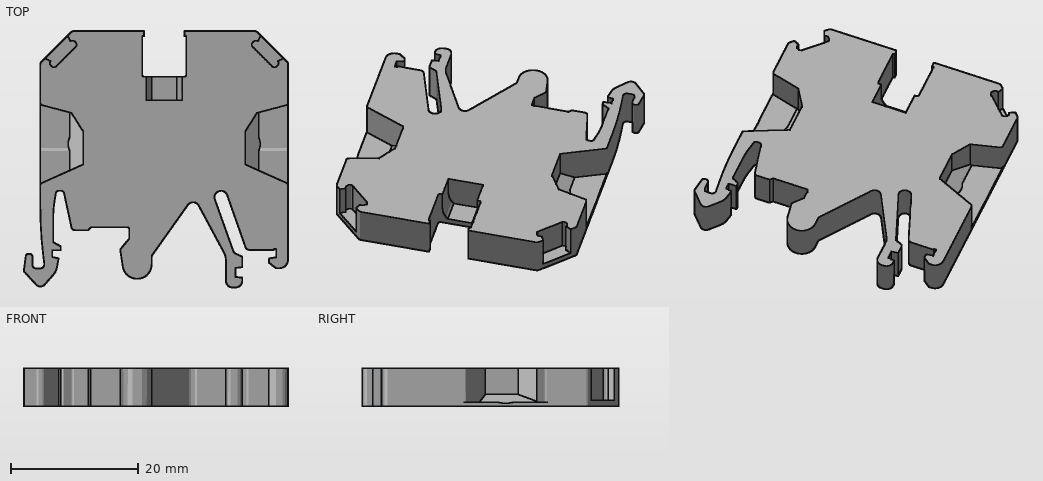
import cadquery as cq
import math

overall_length = 41.6
thickness = 6.0
body_half_width = 19.5
top_y = 40.4
corner_chamfer = 5.05
chamfer_end_radius = 0.62
chamfer_angle = 45

recess_floor_z = 0.95

slot_half_width = 3.45
slot_mouth_half_width = 3.15
slot_floor_y = 33.2
lip_height = 0.85
lip_radius = 0.12
slot_floor_radius = 0.35

well_radius = 2.83
well_bottom_y = 29.45
well_axis_z = thickness / 2

entry_floor_z = 0.62
entry_inner_x = 12.73
entry_back_top_y = 24.55
entry_back_bottom_y = 19.4
entry_bend_x = 14.6
entry_bend_y = 27.5
entry_ramp_start_x = 14.85
entry_ramp_rise = 1.25
entry_mouth_radius = 0.4
entry_top_y = 28.8
entry_bottom_y = 16.35
groove_y = 22.6
groove_width = 2.25
groove_depth = 0.145

tag_mouth_half_width = 2.55
tag_neck_half_width = 2.2
tag_half_width = 2.65
tag_neck_depth = 0.95
tag_depth = 2.15
tag_end_radius = 0.5

hook_left_x = body_half_width - overall_length
hook_corner_overshoot = 0.02
hook_throat_y = 3.05
hook_tip_y = 5.32
hook_inner_x = -20.7
arm_inner_x = -17.43
arm_notch_x = -17.6
arm_slit_y = 15.22
shoulder_y = 9.03
seat_y = 9.5
seat_end_x = -5.55
post_bottom_y = 1.37
post_right_x = -1.95
post_radius = 2.3
lever_left_x = 9.7
lever_right_x = 12.3
lever_notch_x = 11.25
ledge_y = 5.9
ledge_relief_y = 6.07
catch_root_x = 17.6
catch_tip_x = 16.45
catch_bottom_y = 3.05

cut_margin = 0.85


def rounded_outline(corners):
    """Closed wire through (x, y, radius) corners, each rounded by a tangent arc."""
    points = [cq.Vector(x, y) for x, y, _ in corners]
    edges = []
    ends = []
    for i, (_, _, radius) in enumerate(corners):
        corner = points[i]
        if radius == 0:
            ends.append((corner, corner))
            continue
        to_previous = (points[i - 1] - corner).normalized()
        to_next = (points[(i + 1) % len(points)] - corner).normalized()
        half_angle = to_previous.getAngle(to_next) / 2
        reach = radius / math.tan(half_angle)
        gap = radius / math.sin(half_angle) - radius
        start = corner + to_previous * reach
        middle = corner + (to_previous + to_next).normalized() * gap
        end = corner + to_next * reach
        edges.append(cq.Edge.makeThreePointArc(start, middle, end))
        ends.append((start, end))
    for i, (start, _) in enumerate(ends):
        previous_end = ends[i - 1][1]
        edges.append(cq.Edge.makeLine(previous_end, start))
    return cq.Wire.assembleEdges(edges)


def plate(corners):
    """Full-thickness solid over a rounded outline."""
    face = cq.Face.makeFromWires(rounded_outline(corners))
    return cq.Workplane(cq.Solid.extrudeLinear(face, cq.Vector(0, 0, thickness)))


def mirrored(solid):
    return solid.mirror("YZ")


top_left = [
    (-slot_half_width, slot_floor_y, slot_floor_radius),
    (-slot_half_width, top_y - lip_height, 0),
    (-slot_mouth_half_width, top_y - lip_height, 0),
    (-slot_mouth_half_width, top_y, lip_radius),
    (corner_chamfer - body_half_width, top_y, chamfer_end_radius),
    (-body_half_width, top_y - corner_chamfer, chamfer_end_radius),
]
top_right = [(-x, y, radius) for x, y, radius in reversed(top_left)]

spring_hook = [
    (-body_half_width, 8.85, 61.55),
    (-18.8, hook_throat_y, 0.62),
    (hook_inner_x, hook_throat_y, 0.55),
    (hook_inner_x, hook_tip_y, 0.45),
    (-21.75, hook_tip_y, 0.45),
    (hook_left_x - hook_corner_overshoot, 2.58, 0.37),
    (-19.45, -0.3, 0.9),
    (-16.95, 2.55, 2.5),
    (-16.6, 4.6, 0.12),
    (arm_notch_x, 4.82, 0),
    (arm_notch_x, 5.85, 0),
    (-16.25, 5.85, 0),
    (-16.25, 6.5, 0),
    (arm_inner_x, 7.15, 0),
    (arm_inner_x, 12.4, 12.48),
    (-16.95, arm_slit_y, 0.45),
    (-15.85, arm_slit_y, 0.45),
]

rail_seat_and_post = [
    (-14.5, shoulder_y, 0.62),
    (-11.95, shoulder_y, 0),
    (-11.5, seat_y, 0),
    (seat_end_x, seat_y, 0.2),
    (seat_end_x, 7.7, 0),
    (-6.95, 6.0, 0.3),
    (-6.25, post_bottom_y, post_radius),
    (post_right_x, post_bottom_y, post_radius),
    (post_right_x, 5.0, 0.2),
]

release_lever = [
    (4.65, 14.3, 1.0),
    (lever_left_x, 4.95, 2.5),
    (lever_left_x, 0, 1.1),
    (lever_right_x, 0, 1.12),
    (lever_right_x, 1.6, 0.12),
    (lever_notch_x, 1.7, 0),
    (lever_notch_x, 3.08, 0),
    (lever_right_x, 3.2, 0),
    (lever_right_x, 4.85, 0.35),
    (11.0, 5.5, 0.55),
    (7.65, 14.8, 0.95),
    (9.55, 15.47, 0.95),
]

right_catch = [
    (12.95, ledge_y, 0.75),
    (17.25, ledge_y, 0),
    (17.25, ledge_relief_y, 0),
    (catch_root_x, ledge_relief_y, 0),
    (catch_root_x, 4.8, 0),
    (catch_tip_x, 4.6, 0.25),
    (catch_tip_x, 3.9, 0.12),
    (17.6, catch_bottom_y, 0.2),
    (body_half_width, catch_bottom_y, 1.4),
]

outline = top_left + spring_hook + rail_seat_and_post + release_lever + right_catch + top_right
body = plate(outline)


def slot_well():
    well_top_y = slot_floor_y + cut_margin
    length = well_top_y - well_bottom_y
    floor_half_width = math.sqrt(well_radius**2 - (well_axis_z - recess_floor_z) ** 2)
    bend_angle = math.asin(floor_half_width / well_radius) / 2 + math.pi / 4
    bend_x = well_radius * math.sin(bend_angle)
    bend_z = well_axis_z - well_radius * math.cos(bend_angle)
    return (
        cq.Workplane("XZ", origin=(0, well_top_y, 0))
        .moveTo(-well_radius, thickness)
        .lineTo(-well_radius, well_axis_z)
        .threePointArc((-bend_x, bend_z), (-floor_half_width, recess_floor_z))
        .lineTo(floor_half_width, recess_floor_z)
        .threePointArc((bend_x, bend_z), (well_radius, well_axis_z))
        .lineTo(well_radius, thickness)
        .close()
        .extrude(length)
    )


def wire_entry():
    mouth_x = -body_half_width
    outside_x = mouth_x - cut_margin
    pocket = plate(
        [
            (outside_x, entry_top_y + cut_margin, 0),
            (mouth_x, entry_top_y + cut_margin, 0),
            (mouth_x, entry_top_y, entry_mouth_radius),
            (-entry_bend_x, entry_bend_y, 0),
            (-entry_inner_x, entry_back_top_y, 0),
            (-entry_inner_x, entry_back_bottom_y, 0),
            (mouth_x, entry_bottom_y, entry_mouth_radius),
            (mouth_x, entry_bottom_y - cut_margin, 0),
            (outside_x, entry_bottom_y - cut_margin, 0),
        ]
    )

    ramp_run = entry_ramp_start_x - entry_inner_x
    ramp_slope = entry_ramp_rise / ramp_run
    buried_x = -entry_ramp_start_x - entry_floor_z / ramp_slope
    above_ramp = (
        cq.Workplane("XZ")
        .moveTo(outside_x, 0)
        .lineTo(buried_x, 0)
        .lineTo(-entry_inner_x, entry_floor_z + entry_ramp_rise)
        .lineTo(-entry_inner_x, thickness)
        .lineTo(outside_x, thickness)
        .close()
        .extrude(-top_y)
    )

    groove_radius = (groove_width**2 / 4 + groove_depth**2) / (2 * groove_depth)
    groove_axis_z = entry_floor_z - groove_depth + groove_radius
    above_floor = cq.Workplane("XY", origin=(0, top_y / 2, entry_floor_z)).box(
        4 * body_half_width, top_y, thickness, centered=(True, True, False)
    )
    groove = (
        cq.Workplane("YZ", origin=(outside_x, 0, 0))
        .center(groove_y, groove_axis_z)
        .circle(groove_radius)
        .extrude(body_half_width)
    )
    return pocket.intersect(above_ramp).intersect(above_floor.union(groove))


def tag_pocket():
    height = thickness - recess_floor_z
    neck = (
        cq.Workplane("XY")
        .moveTo(-tag_mouth_half_width, cut_margin)
        .lineTo(-tag_mouth_half_width, 0)
        .lineTo(-tag_neck_half_width, -tag_neck_depth)
        .lineTo(-tag_neck_half_width, -tag_depth)
        .lineTo(tag_neck_half_width, -tag_depth)
        .lineTo(tag_neck_half_width, -tag_neck_depth)
        .lineTo(tag_mouth_half_width, 0)
        .lineTo(tag_mouth_half_width, cut_margin)
        .close()
        .extrude(height)
    )
    head = (
        cq.Workplane("XY", origin=(0, -(tag_neck_depth + tag_depth) / 2, 0))
        .rect(2 * tag_half_width, tag_depth - tag_neck_depth)
        .extrude(height)
        .edges("|Z")
        .fillet(tag_end_radius)
    )
    chamfer_middle = (
        corner_chamfer / 2 - body_half_width,
        top_y - corner_chamfer / 2,
        recess_floor_z,
    )
    return neck.union(head).rotate((0, 0, 0), (0, 0, 1), chamfer_angle).translate(chamfer_middle)


result = body.cut(slot_well())
for pocket in (wire_entry(), tag_pocket()):
    result = result.cut(pocket).cut(mirrored(pocket))